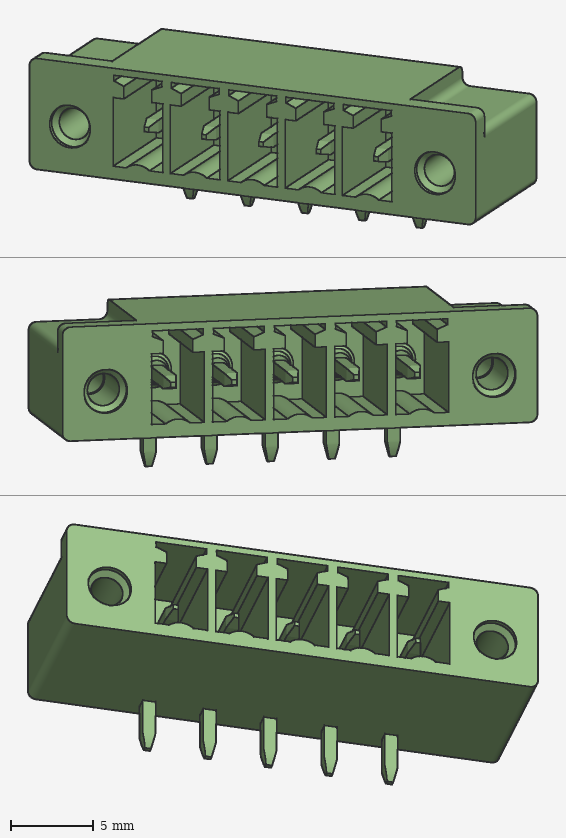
import cadquery as cq
import math


HOUSING_LENGTH = 29.65
HOUSING_DEPTH = 9.2
HOUSING_HEIGHT = 7.05
EDGE_RADIUS = 0.5

FLANGE_THICKNESS = 1.33
EAR_LENGTH = 4.92
EAR_HEIGHT = 5.78

PIN_COUNT = 5
PIN_ROW_SPAN = 15.23
PIN_PITCH = PIN_ROW_SPAN / (PIN_COUNT - 1)
CONTACT_HEIGHT = 3.0

POCKET_WIDTH = 3.3
POCKET_DEPTH = 6.52
POCKET_FLOOR = 0.83
POCKET_SHOULDER = 5.2
NECK_WIDTH = 1.87
NECK_TOP = 6.0
SLOT_WIDTH = 3.17
SLOT_BOTTOM = 6.25
SLOT_TOP = 6.6
HUMP_WIDTH = 1.55
HUMP_HEIGHT = 0.273

COLLAR_FOOT_RADIUS = 1.1
COLLAR_WAIST_RADIUS = 0.9
COLLAR_TIP_RADIUS = 0.7
COLLAR_WAIST_HEIGHT = 0.18
COLLAR_HEIGHT = 0.68

SCREW_INSET = 2.7
COUNTERBORE_DIAMETER = 2.7
COUNTERBORE_DEPTH = 0.3
SCREW_DIAMETER = 2.0
SCREW_DEPTH = HOUSING_DEPTH / 2
REAR_BORE_DIAMETER = 1.85

PIN_WIDTH = 0.8
PIN_BOTTOM = -3.2
PIN_FRONT = 1.3
PIN_LEG_Y = 8.0
ARM_TIP_WIDTH = 0.3
LEG_TIP_WIDTH = 0.4
TAPER_LENGTH = 0.92
CURVE_TIP_WIDTH = 0.3
CURVE_LENGTH = 1.1

pin_positions = [(i - (PIN_COUNT - 1) / 2) * PIN_PITCH for i in range(PIN_COUNT)]


def make_block():
    """Rounded block with a lowered ear at each end, behind the front flange."""
    block = (
        cq.Workplane("XY")
        .box(HOUSING_LENGTH, HOUSING_DEPTH, HOUSING_HEIGHT, centered=(True, False, False))
        .edges("|Y")
        .fillet(EDGE_RADIUS)
    )
    for side in (-1, 1):
        block = block.cut(make_ear_clearance(side))
    return block.edges(">Y and >Z").fillet(EDGE_RADIUS)


def make_ear_clearance(side):
    """Space above one ear; it rounds the ear's outer edge and its inner corner."""
    inner_x = HOUSING_LENGTH / 2 - EAR_LENGTH
    outer_x = HOUSING_LENGTH / 2
    lean = EDGE_RADIUS * (1 - math.sqrt(0.5))
    return (
        cq.Workplane("XZ", origin=(0, FLANGE_THICKNESS, 0))
        .moveTo(side * inner_x, HOUSING_HEIGHT)
        .lineTo(side * inner_x, EAR_HEIGHT + EDGE_RADIUS)
        .threePointArc(
            (side * (inner_x + lean), EAR_HEIGHT + lean),
            (side * (inner_x + EDGE_RADIUS), EAR_HEIGHT),
        )
        .lineTo(side * (outer_x - EDGE_RADIUS), EAR_HEIGHT)
        .threePointArc(
            (side * (outer_x - lean), EAR_HEIGHT - lean),
            (side * outer_x, EAR_HEIGHT - EDGE_RADIUS),
        )
        .lineTo(side * outer_x, HOUSING_HEIGHT)
        .close()
        .extrude(FLANGE_THICKNESS - HOUSING_DEPTH)
    )


def make_pocket(x):
    """Keyed pocket with an arched floor, less the collar that stands on its end wall."""
    pocket = (
        cq.Workplane("XZ", origin=(x, 0, 0))
        .moveTo(-POCKET_WIDTH / 2, POCKET_FLOOR)
        .lineTo(-HUMP_WIDTH / 2, POCKET_FLOOR)
        .threePointArc((0, POCKET_FLOOR + HUMP_HEIGHT), (HUMP_WIDTH / 2, POCKET_FLOOR))
        .lineTo(POCKET_WIDTH / 2, POCKET_FLOOR)
        .lineTo(POCKET_WIDTH / 2, POCKET_SHOULDER)
        .lineTo(NECK_WIDTH / 2, POCKET_SHOULDER)
        .lineTo(NECK_WIDTH / 2, NECK_TOP)
        .lineTo(SLOT_WIDTH / 2, SLOT_BOTTOM)
        .lineTo(SLOT_WIDTH / 2, SLOT_TOP)
        .lineTo(-SLOT_WIDTH / 2, SLOT_TOP)
        .lineTo(-SLOT_WIDTH / 2, SLOT_BOTTOM)
        .lineTo(-NECK_WIDTH / 2, NECK_TOP)
        .lineTo(-NECK_WIDTH / 2, POCKET_SHOULDER)
        .lineTo(-POCKET_WIDTH / 2, POCKET_SHOULDER)
        .close()
        .extrude(-POCKET_DEPTH)
    )
    return pocket.cut(make_collar(x))


def make_collar(x):
    """Collar of two stacked cones, the upper one steeper, about the contact axis."""
    return (
        cq.Workplane("XY", origin=(x, 0, CONTACT_HEIGHT))
        .moveTo(0, POCKET_DEPTH)
        .lineTo(COLLAR_FOOT_RADIUS, POCKET_DEPTH)
        .lineTo(COLLAR_WAIST_RADIUS, POCKET_DEPTH - COLLAR_WAIST_HEIGHT)
        .lineTo(COLLAR_TIP_RADIUS, POCKET_DEPTH - COLLAR_HEIGHT)
        .lineTo(0, POCKET_DEPTH - COLLAR_HEIGHT)
        .close()
        .revolve(360, (0, 0, 0), (0, 1, 0))
    )


def make_screw_hole(x):
    """Through hole: shallow counterbore, 45 degree cone, then a bore that steps down halfway."""
    counterbore_radius = COUNTERBORE_DIAMETER / 2
    screw_radius = SCREW_DIAMETER / 2
    rear_radius = REAR_BORE_DIAMETER / 2
    cone_end = COUNTERBORE_DEPTH + counterbore_radius - screw_radius
    return (
        cq.Workplane("XY", origin=(x, 0, CONTACT_HEIGHT))
        .lineTo(counterbore_radius, 0)
        .lineTo(counterbore_radius, COUNTERBORE_DEPTH)
        .lineTo(screw_radius, cone_end)
        .lineTo(screw_radius, SCREW_DEPTH)
        .lineTo(rear_radius, SCREW_DEPTH)
        .lineTo(rear_radius, HOUSING_DEPTH)
        .lineTo(0, HOUSING_DEPTH)
        .close()
        .revolve(360, (0, 0, 0), (0, 1, 0))
    )


def make_tapered_bar(length, tip_width):
    """Square bar from the origin up to +Z, narrowed straight in X toward its tip."""
    half = PIN_WIDTH / 2
    half_tip = tip_width / 2
    taper_start = length - TAPER_LENGTH
    return (
        cq.Workplane("XZ")
        .moveTo(-half, 0)
        .lineTo(half, 0)
        .lineTo(half, taper_start)
        .lineTo(half_tip, length)
        .lineTo(-half_tip, length)
        .lineTo(-half, taper_start)
        .close()
        .extrude(half, both=True)
    )


def make_curved_bar(length):
    """Square bar from the origin up to +Z, narrowed in Y by an arc on each side of its tip."""
    half = PIN_WIDTH / 2
    half_tip = CURVE_TIP_WIDTH / 2
    curve_start = length - CURVE_LENGTH
    narrowing = half - half_tip
    curve_radius = (CURVE_LENGTH**2 + narrowing**2) / (2 * narrowing)
    return (
        cq.Workplane("YZ")
        .moveTo(-half, 0)
        .lineTo(half, 0)
        .lineTo(half, curve_start)
        .radiusArc((half_tip, length), -curve_radius)
        .lineTo(-half_tip, length)
        .radiusArc((-half, curve_start), -curve_radius)
        .close()
        .extrude(half, both=True)
    )


def make_arm(x):
    """Horizontal contact arm with a pyramid tip pointing at the mating face."""
    back_y = PIN_LEG_Y + PIN_WIDTH / 2
    bar = make_tapered_bar(back_y - PIN_FRONT, ARM_TIP_WIDTH)
    bar = bar.intersect(bar.rotate((0, 0, 0), (0, 0, 1), 90))
    return bar.rotate((0, 0, 0), (1, 0, 0), 90).translate((x, back_y, CONTACT_HEIGHT))


def make_leg(x):
    """Vertical solder leg, its tip straight-sided in X and rounded in Y."""
    top_z = CONTACT_HEIGHT + PIN_WIDTH / 2
    length = top_z - PIN_BOTTOM
    bar = make_tapered_bar(length, LEG_TIP_WIDTH).intersect(make_curved_bar(length))
    return bar.rotate((0, 0, 0), (1, 0, 0), 180).translate((x, PIN_LEG_Y, top_z))


def make_pin(x):
    """L-shaped pin: a contact arm toward the mating face and a leg below the housing."""
    return make_arm(x).union(make_leg(x))


def make_housing(pins):
    """Housing with its pockets and screw holes, and a fitting channel for each pin."""
    housing = make_block()
    for x in pin_positions:
        housing = housing.cut(make_pocket(x))
    for side in (-1, 1):
        housing = housing.cut(make_screw_hole(side * (HOUSING_LENGTH / 2 - SCREW_INSET)))
    for pin in pins:
        housing = housing.cut(pin)
    return housing


pins = [make_pin(x) for x in pin_positions]
housing = make_housing(pins)
result = cq.Compound.makeCompound([housing.val(), *[pin.val() for pin in pins]])